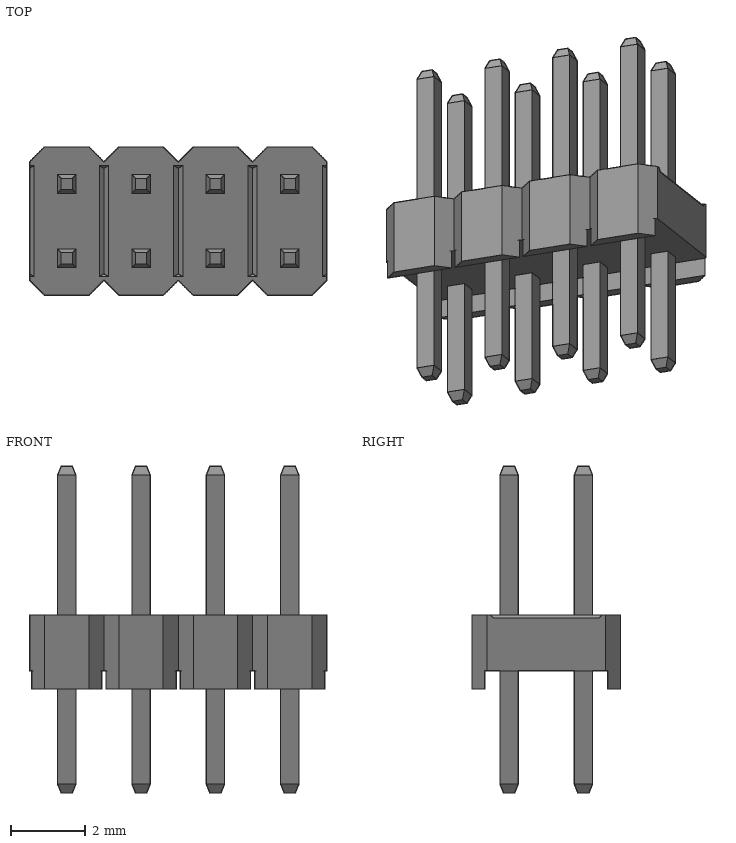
import cadquery as cq

column_count = 4
row_count = 2
total_height = 8.8
body_length = 8.0
pitch = body_length / column_count
body_width = row_count * pitch

body_height = 2.0
corner_chamfer = 0.405
foot_height = 0.49
foot_thickness = 0.35

groove_length = 2.99
groove_half_width = 0.12
groove_depth = 0.09
groove_end_run = 0.08

pin_side = 0.5
pin_above_body = 4.0
pin_tip_side = 0.3
pin_tip_height = 0.25
pin_top = body_height + pin_above_body
pin_bottom = pin_top - total_height


def centred_positions(count):
    """Positions of count items spaced one pitch apart and centred on zero."""
    return [(i - (count - 1) / 2) * pitch for i in range(count)]


def column_block(x):
    """One column of the housing: a block with its four upright edges chamfered."""
    block = cq.Workplane("XY").box(pitch, body_width, body_height, centered=(True, True, False))
    return block.edges("|Z").chamfer(corner_chamfer).translate((x, 0, 0))


def underside_channel():
    """Channel along the whole length that leaves a row of feet on each long side."""
    channel_width = body_width - 2 * foot_thickness
    return cq.Workplane("XY").box(body_length, channel_width, foot_height, centered=(True, True, False))


def top_groove(x):
    """V groove along Y whose two ends slope down to the bottom line."""
    bottom = body_height - groove_depth
    half_length = groove_length / 2
    v_section = [
        (-groove_half_width, body_height),
        (groove_half_width, body_height),
        (0, bottom),
    ]
    side_profile = [
        (-half_length, body_height),
        (half_length, body_height),
        (half_length - groove_end_run, bottom),
        (-half_length + groove_end_run, bottom),
    ]
    v_prism = cq.Workplane("XZ").polyline(v_section).close().extrude(half_length, both=True)
    end_limits = cq.Workplane("YZ").polyline(side_profile).close().extrude(groove_half_width, both=True)
    return v_prism.intersect(end_limits).translate((x, 0, 0))


def pin_tip(base_z, direction):
    """Tapered pin tip growing from base_z, upward (1) or downward (-1)."""
    return (
        cq.Workplane("XY", origin=(0, 0, base_z))
        .rect(pin_side, pin_side)
        .workplane(offset=direction * pin_tip_height)
        .rect(pin_tip_side, pin_tip_side)
        .loft(ruled=True)
    )


def pin(x, y):
    """Square pin through the housing with a tapered tip at each end."""
    shaft_bottom = pin_bottom + pin_tip_height
    shaft_top = pin_top - pin_tip_height
    shaft = (
        cq.Workplane("XY", origin=(0, 0, shaft_bottom))
        .rect(pin_side, pin_side)
        .extrude(shaft_top - shaft_bottom)
    )
    whole_pin = shaft.union(pin_tip(shaft_top, 1)).union(pin_tip(shaft_bottom, -1))
    return whole_pin.translate((x, y, 0))


result = cq.Workplane("XY")
for column_x in centred_positions(column_count):
    result = result.union(column_block(column_x))
result = result.cut(underside_channel())
for boundary_x in centred_positions(column_count + 1):
    result = result.cut(top_groove(boundary_x))

for column_x in centred_positions(column_count):
    for row_y in centred_positions(row_count):
        result = result.union(pin(column_x, row_y))